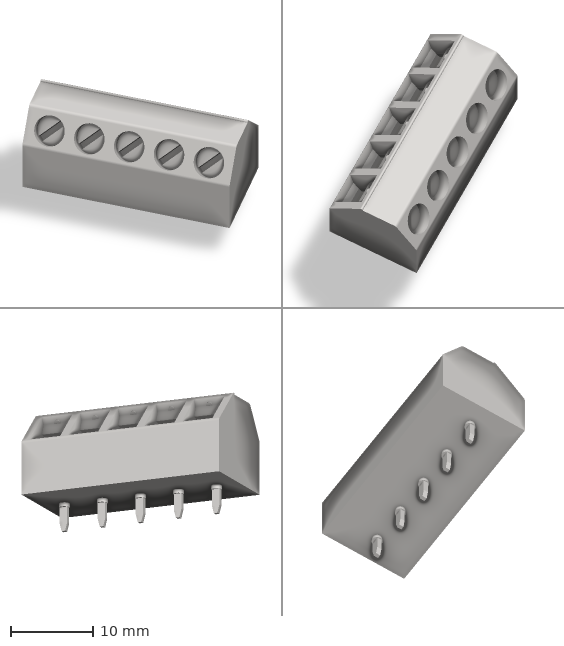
import cadquery as cq
import math


length = 26.4
depth = 12.0
height = 10.98
ridge_radius = 0.2
roof_z = height - ridge_radius
shoulder_z = 6.68
front_slope_angle = 55.0
back_slope_angle = 45.0
edge_radius = 0.5

pole_count = 5
pole_pitch = 5.08
first_pole_x = (length - (pole_count - 1) * pole_pitch) / 2

bore_diameter = 3.83
bore_center_z = 8.58
bore_depth = 1.58
slot_width = 0.8
slot_depth = 1.21
slot_angle = 45.0

rim_width = 4.1
rim_low = 0.3
rim_high = 5.52
side_wall_depth = 1.08
side_wall_undercut = 9.0
funnel_depth = 1.87
funnel_taper = 30.0
passage_width = 2.72
passage_depth = 2.43
lip_depth = 1.1
lip_top_depth = 0.65
lip_tilt = 15.0

tip_diameter = 0.85
tip_end_y = depth - 3.83
tip_end_z = 9.55
tip_length = 0.8

collar_diameter = 1.32
collar_height = 0.5
pin_width = 1.0
pin_thickness = 0.6
pin_length = 3.5
pin_taper_start = 2.5
pin_tip_width = 0.48


def tan_deg(angle):
    return math.tan(math.radians(angle))


front_slope_sin = math.sin(math.radians(front_slope_angle))
front_slope_cos = math.cos(math.radians(front_slope_angle))
back_slope_sin = math.sin(math.radians(back_slope_angle))
back_slope_cos = math.cos(math.radians(back_slope_angle))

front_normal = cq.Vector(0, -front_slope_sin, front_slope_cos)


def make_housing():
    front_roof_y = (roof_z - shoulder_z) / tan_deg(front_slope_angle)

    tangent_z = roof_z + ridge_radius * back_slope_cos
    tangent_y = depth - (tangent_z - shoulder_z) / tan_deg(back_slope_angle)
    ridge_center_y = tangent_y - ridge_radius * back_slope_sin

    housing = (
        cq.Workplane("YZ")
        .moveTo(0, 0)
        .lineTo(0, shoulder_z)
        .lineTo(front_roof_y, roof_z)
        .lineTo(ridge_center_y - ridge_radius, roof_z)
        .threePointArc((ridge_center_y, height), (tangent_y, tangent_z))
        .lineTo(depth, shoulder_z)
        .lineTo(depth, 0)
        .close()
        .extrude(length)
    )
    long_edges = [(0, shoulder_z), (front_roof_y, roof_z), (depth, shoulder_z)]
    for y, z in long_edges:
        edge = cq.selectors.NearestToPointSelector((length / 2, y, z))
        housing = housing.edges("|X").edges(edge).fillet(edge_radius)
    return housing


def make_screw_bore(x):
    mouth_y = (bore_center_z - shoulder_z) / tan_deg(front_slope_angle)
    mouth_center = cq.Vector(x, mouth_y, bore_center_z)
    floor_center = mouth_center - front_normal * bore_depth
    floor = cq.Plane(origin=floor_center, xDir=(1, 0, 0), normal=front_normal)

    bore = cq.Workplane(floor).circle(bore_diameter / 2).extrude(bore_depth)
    slot = (
        cq.Workplane(floor)
        .transformed(rotate=(0, 0, slot_angle))
        .rect(bore_diameter, slot_width)
        .extrude(-slot_depth)
    )
    screw_head = cq.Workplane(floor).circle(bore_diameter / 2).extrude(-slot_depth)
    return bore.union(slot.intersect(screw_head))


def make_wire_funnel(x):
    corner = (x, depth, shoulder_z)
    up_slope = (0, -back_slope_cos, back_slope_sin)

    passage_low = (
        rim_low
        - side_wall_depth * tan_deg(side_wall_undercut)
        + (funnel_depth - side_wall_depth) * tan_deg(funnel_taper)
    )
    lip_high = rim_high - lip_top_depth * tan_deg(back_slope_angle)
    lip_low = lip_high - (lip_depth - lip_top_depth) / tan_deg(lip_tilt)
    section = [
        (rim_low, 0),
        (rim_low - side_wall_depth * tan_deg(side_wall_undercut), side_wall_depth),
        (passage_low, funnel_depth),
        (passage_low, passage_depth),
        (lip_low, passage_depth),
        (lip_low, lip_depth),
        (lip_high, lip_top_depth),
        (rim_high, 0),
    ]
    section_plane = cq.Plane(origin=corner, xDir=up_slope, normal=(1, 0, 0))
    body = cq.Workplane(section_plane).polyline(section).close().extrude(rim_width / 2, both=True)

    outline = [
        (-rim_width / 2, 0),
        (-passage_width / 2, -funnel_depth),
        (-passage_width / 2, -passage_depth),
        (passage_width / 2, -passage_depth),
        (passage_width / 2, -funnel_depth),
        (rim_width / 2, 0),
    ]
    width_plane = cq.Plane(origin=corner, xDir=(1, 0, 0), normal=up_slope)
    taper = cq.Workplane(width_plane).polyline(outline).close().extrude(rim_high)
    return body.intersect(taper)


def make_screw_tip(x):
    end_center = (x, tip_end_y, tip_end_z)
    up_slope = (0, front_slope_cos, front_slope_sin)
    end = cq.Plane(origin=end_center, xDir=up_slope, normal=front_normal)
    return cq.Workplane(end).circle(tip_diameter / 2).extrude(tip_length)


def make_pin(x):
    collar = (
        cq.Workplane("XY")
        .center(x, depth / 2)
        .circle(collar_diameter / 2)
        .extrude(-collar_height)
    )
    blade = (
        cq.Workplane("XZ", origin=(x, depth / 2, 0))
        .polyline([
            (-pin_width / 2, 0),
            (-pin_width / 2, -pin_taper_start),
            (-pin_tip_width / 2, -pin_length),
            (pin_tip_width / 2, -pin_length),
            (pin_width / 2, -pin_taper_start),
            (pin_width / 2, 0),
        ])
        .close()
        .extrude(pin_thickness / 2, both=True)
    )
    return collar.union(blade)


result = make_housing()
for pole in range(pole_count):
    pole_x = first_pole_x + pole * pole_pitch
    result = result.cut(make_screw_bore(pole_x))
    result = result.cut(make_wire_funnel(pole_x))
    result = result.union(make_screw_tip(pole_x))
    result = result.union(make_pin(pole_x))